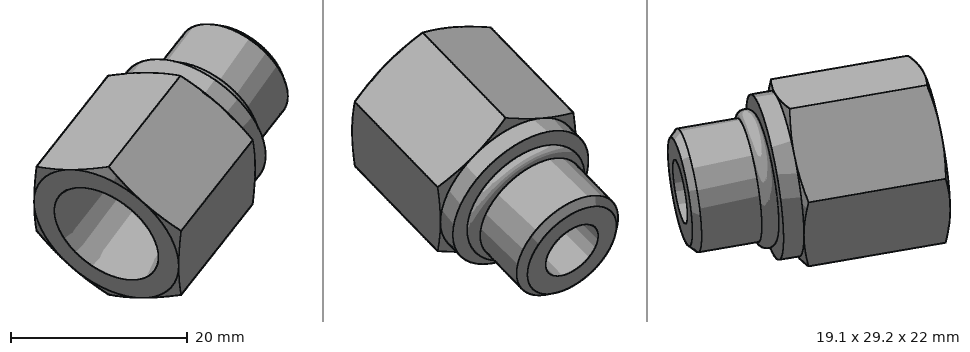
import cadquery as cq
import math

total_length = 29.2
across_flats = 19.05
hex_length = 17.0
corner_chamfer_angle = 20.0
collar_length = 2.37
shank_diameter = 14.25
shank_chamfer = 0.88
ring_thickness = 2.0
ring_outer_diameter = 16.0
bore_diameter = 12.7
bore_mouth_diameter = 13.7
bore_mouth_depth = 2.5
bore_depth = 14.6
passage_diameter = 7.35

across_corners = across_flats / math.cos(math.radians(30))
collar_end = hex_length + collar_length


def revolve_profile(points):
    """Revolve a closed (radius, Y) outline about the Y axis."""
    outline = cq.Workplane("XY").polyline(points).close()
    return outline.revolve(360, (0, 0, 0), (0, 1, 0))


def cylinder(diameter, start, end):
    radius = diameter / 2
    return revolve_profile([(0, start), (radius, start), (radius, end), (0, end)])


def hexagon():
    """Hexagon with flats facing +X and -X and corners chamfered at both ends."""
    prism = (
        cq.Workplane("XZ")
        .transformed(rotate=(0, 0, 30))
        .polygon(6, across_corners)
        .extrude(-hex_length)
    )
    flat_radius = across_flats / 2
    corner_radius = across_corners / 2
    drop = (corner_radius - flat_radius) * math.tan(math.radians(corner_chamfer_angle))
    envelope = revolve_profile([
        (0, 0),
        (flat_radius, 0),
        (corner_radius, drop),
        (corner_radius, hex_length - drop),
        (flat_radius, hex_length),
        (0, hex_length),
    ])
    return prism.intersect(envelope)


def shank():
    return cylinder(shank_diameter, hex_length, total_length).faces(">Y").chamfer(shank_chamfer)


def seal_ring():
    """O-ring seated against the collar and sunk into the shank."""
    ring_radius = ring_thickness / 2
    centre_radius = ring_outer_diameter / 2 - ring_radius
    return (
        cq.Workplane("XY")
        .center(centre_radius, collar_end + ring_radius)
        .circle(ring_radius)
        .revolve(360, (-centre_radius, 0, 0), (-centre_radius, 1, 0))
    )


def bore():
    """Stepped bore with a flared mouth and a narrower passage right through."""
    mouth = revolve_profile([
        (0, 0),
        (bore_mouth_diameter / 2, 0),
        (bore_diameter / 2, bore_mouth_depth),
        (0, bore_mouth_depth),
    ])
    socket = cylinder(bore_diameter, 0, bore_depth)
    passage = cylinder(passage_diameter, 0, total_length)
    return mouth.union(socket).union(passage)


collar = cylinder(across_flats, hex_length, collar_end)
body = hexagon().union(collar).union(shank()).union(seal_ring())
result = body.cut(bore())